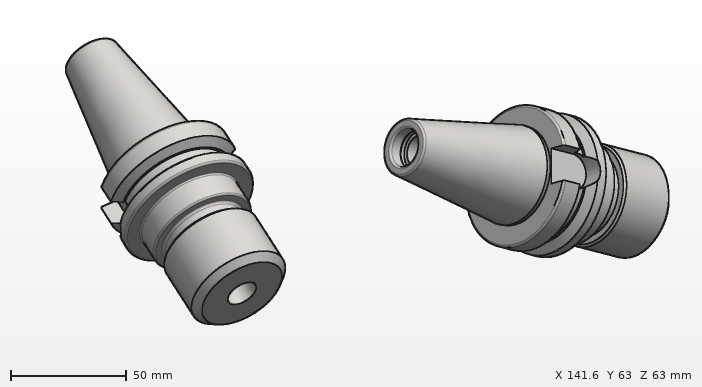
import cadquery as cq

taper_end = 65.3
relief_start = 66.4
flange_start = 67.4
flange_end = 92.5
boss_end = 104.8
nut_start = 111.6
nut_end = 141.6

gauge_diameter = 44.5
taper_ratio = 7 / 24
relief_diameter = 44.0
small_diameter = gauge_diameter - taper_ratio * taper_end
small_end_fillet = 1.0

flange_diameter = 63.0
groove_diameter = 52.1
groove_floor_start = 79.6
groove_floor_end = 84.5
groove_side_length = 2.5
groove_step_diameter = 54.1
flange_fillet = 1.0

slot_width = 15.9
slot_end = 88.5
slot_floor_offset = 22.5

boss_diameter = 48.0
boss_fillet = 0.8
boss_root_fillet = 0.7
neck_diameter = 38.1
neck_root_fillet = 1.1

through_diameter = 13.9
pilot_diameter = 17.0
pilot_end = 6.2
mouth_fillet = 1.0
undercut_diameter = 17.5
undercut_start = 6.8
undercut_end = 8.8

nut_diameter = 46.0
nut_rear_chamfer = 1.0
nut_front_chamfer = 3.4


def revolve_profile(points):
    """Revolve a closed (x, radius) outline about the X axis."""
    return cq.Workplane("XY").polyline(points).close().revolve(360, (0, 0, 0), (1, 0, 0))


def cylinder(diameter, start, end):
    """Cylinder on the X axis between two stations."""
    return cq.Workplane("YZ", origin=(start, 0, 0)).circle(diameter / 2).extrude(end - start)


def round_rim(body, diameter, station, radius):
    """Fillet the circular edge with this diameter at this station."""
    reach = diameter / 2 + 0.07
    slack = 0.07
    rim = cq.selectors.BoxSelector(
        (station - slack, -reach, -reach), (station + slack, reach, reach), boundingbox=True
    )
    circles = body.edges("%CIRCLE").edges(rim).vals()
    edges = [edge for edge in circles if abs(edge.radius() - diameter / 2) < slack]
    return body.newObject(edges).fillet(radius)


def make_blank():
    """Solid of revolution of the holder, with its rounded rims."""
    body = revolve_profile([
        (0, 0),
        (0, small_diameter / 2),
        (taper_end, gauge_diameter / 2),
        (relief_start, relief_diameter / 2),
        (flange_start, relief_diameter / 2),
        (flange_start, flange_diameter / 2),
        (groove_floor_start - groove_side_length, flange_diameter / 2),
        (groove_floor_start, groove_step_diameter / 2),
        (groove_floor_start, groove_diameter / 2),
        (groove_floor_end, groove_diameter / 2),
        (groove_floor_end, groove_step_diameter / 2),
        (groove_floor_end + groove_side_length, flange_diameter / 2),
        (flange_end, flange_diameter / 2),
        (flange_end, boss_diameter / 2),
        (boss_end, boss_diameter / 2),
        (boss_end, neck_diameter / 2),
        (nut_start, neck_diameter / 2),
        (nut_start, 0),
    ])
    body = round_rim(body, small_diameter, 0, small_end_fillet)
    body = round_rim(body, flange_diameter, flange_start, flange_fillet)
    body = round_rim(body, flange_diameter, flange_end, flange_fillet)
    body = round_rim(body, boss_diameter, flange_end, boss_root_fillet)
    body = round_rim(body, boss_diameter, boss_end, boss_fillet)
    return round_rim(body, neck_diameter, boss_end, neck_root_fillet)


def make_drive_slot(side):
    """Round-ended slot cutter on the -Y (side = -1) or +Y (side = 1) flank."""
    radius = slot_width / 2
    arc_center = slot_end - radius
    return (
        cq.Workplane("XZ", origin=(0, side * slot_floor_offset, 0))
        .moveTo(flange_start, -radius)
        .lineTo(arc_center, -radius)
        .threePointArc((slot_end, 0), (arc_center, radius))
        .lineTo(flange_start, radius)
        .close()
        .extrude(-side * flange_diameter / 2)
    )


def make_pilot_bore():
    """Stepped bore cutter: pilot, short cone, undercut."""
    return revolve_profile([
        (0, 0),
        (0, pilot_diameter / 2),
        (pilot_end, pilot_diameter / 2),
        (undercut_start, undercut_diameter / 2),
        (undercut_end, undercut_diameter / 2),
        (undercut_end, 0),
    ])


def make_holder():
    """Tapered tool holder with drive slots and draw-bar bore."""
    body = make_blank()
    for side in (-1, 1):
        body = body.cut(make_drive_slot(side))
    body = body.cut(make_pilot_bore())
    body = round_rim(body, pilot_diameter, 0, mouth_fillet)
    return body.cut(cylinder(through_diameter, 0, nut_start))


def make_nut():
    """Clamping nut seated on the end of the neck."""
    body = cylinder(nut_diameter, nut_start, nut_end)
    body = body.faces("<X").chamfer(nut_rear_chamfer)
    body = body.faces(">X").chamfer(nut_front_chamfer)
    return body.cut(cylinder(through_diameter, nut_start, nut_end))


holder = make_holder()
nut = make_nut()
result = cq.Compound.makeCompound([holder.val(), nut.val()])